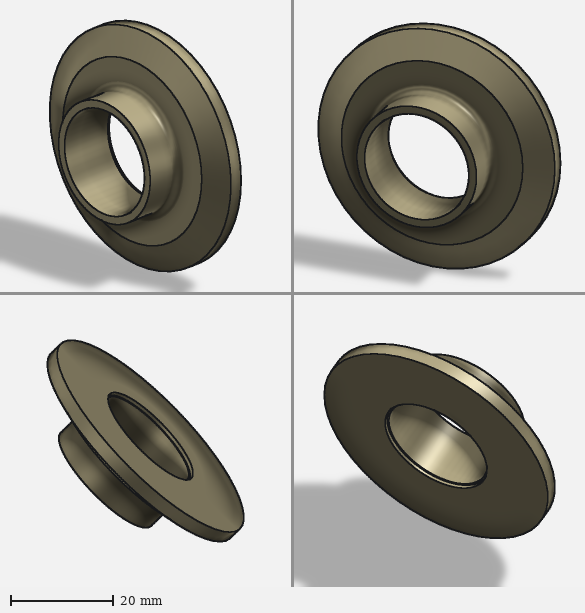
import cadquery as cq

flange_diameter = 50.4
face_diameter = 38.6
tube_diameter = 25.45
bore_diameter = 22.2
total_length = 12.7
flange_thickness = 5.05
rim_thickness = 2.8
root_fillet = 1.55
recess_diameter = 22.95
recess_depth = 0.8

back_y = total_length / 2
tube_end_y = -total_length / 2
rim_y = back_y - rim_thickness
face_y = back_y - flange_thickness
recess_y = back_y - recess_depth

flange_radius = flange_diameter / 2
face_radius = face_diameter / 2
tube_radius = tube_diameter / 2
bore_radius = bore_diameter / 2
recess_radius = recess_diameter / 2

half_section = (
    cq.Workplane("XY")
    .moveTo(bore_radius, recess_y)
    .lineTo(recess_radius, recess_y)
    .lineTo(recess_radius, back_y)
    .lineTo(flange_radius, back_y)
    .lineTo(flange_radius, rim_y)
    .lineTo(face_radius, face_y)
    .lineTo(tube_radius + root_fillet, face_y)
    .radiusArc((tube_radius, face_y - root_fillet), -root_fillet)
    .lineTo(tube_radius, tube_end_y)
    .lineTo(bore_radius, tube_end_y)
    .close()
)

result = half_section.revolve(360, (0, 0, 0), (0, 1, 0))